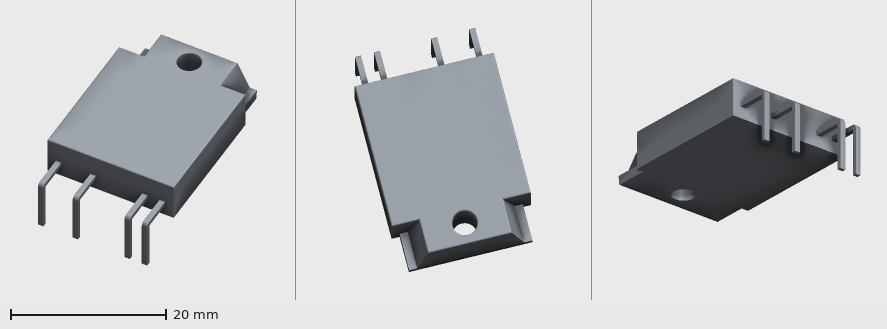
import cadquery as cq

total_length = 29.4
body_width = 18.5
body_length = 19.5
body_height = 5.5
top_edge_radius = 0.2

lead_reach = 4.85
tab_back = total_length - lead_reach
plate_width = 16.38
plate_height = 1.35
plate_undercut = 0.18
block_base_width = 14.23
block_top_width = 11.08
block_back_setback = 0.45

hole_diameter = 3.2
hole_setback = 3.23

lead_pitch = 2.53
lead_steps = (-3, -1, 2, 3)
lead_width = 0.8
lead_thickness = 0.62
lead_leg_thickness = 0.6
lead_top = 2.32
lead_drop = 5.0
lead_bend_radius = 0.62


def make_body():
    return cq.Workplane("XY").box(body_width, body_length, body_height, centered=(True, False, False))


def make_tab():
    """Tapered block on a wider plate, both cut to the same sloping back profile."""
    tab_length = tab_back - body_length
    base_x = block_base_width / 2
    top_x = block_top_width / 2

    block = (
        cq.Workplane("XZ", origin=(0, tab_back, 0))
        .polyline([
            (-base_x, 0),
            (base_x, 0),
            (base_x, plate_height),
            (top_x, body_height),
            (-top_x, body_height),
            (-base_x, plate_height),
        ])
        .close()
        .extrude(tab_length)
    )
    plate = (
        cq.Workplane("XY", origin=(0, body_length, 0))
        .box(plate_width, tab_length, plate_height, centered=(True, False, False))
    )
    side_profile = (
        cq.Workplane("YZ")
        .polyline([
            (body_length, 0),
            (tab_back - plate_undercut, 0),
            (tab_back, plate_height),
            (tab_back - block_back_setback, body_height),
            (body_length, body_height),
        ])
        .close()
        .extrude(plate_width / 2, both=True)
    )
    return block.union(plate).intersect(side_profile)


def make_hole_cutter():
    return (
        cq.Workplane("XY", origin=(0, tab_back - hole_setback, 0))
        .circle(hole_diameter / 2)
        .extrude(body_height)
    )


def make_lead(center_x):
    """L-shaped lead leaving the front face and bending down."""
    inner_y = lead_leg_thickness - lead_reach
    underside = lead_top - lead_thickness
    lead = (
        cq.Workplane("YZ")
        .moveTo(0, lead_top)
        .lineTo(lead_bend_radius - lead_reach, lead_top)
        .radiusArc((-lead_reach, lead_top - lead_bend_radius), -lead_bend_radius)
        .lineTo(-lead_reach, -lead_drop)
        .lineTo(inner_y, -lead_drop)
        .lineTo(inner_y, underside)
        .lineTo(0, underside)
        .close()
        .extrude(lead_width / 2, both=True)
    )
    return lead.translate((center_x, 0, 0))


result = make_body().union(make_tab()).cut(make_hole_cutter())
result = result.faces(">Z").edges().fillet(top_edge_radius)
for step in lead_steps:
    result = result.union(make_lead(step * lead_pitch))